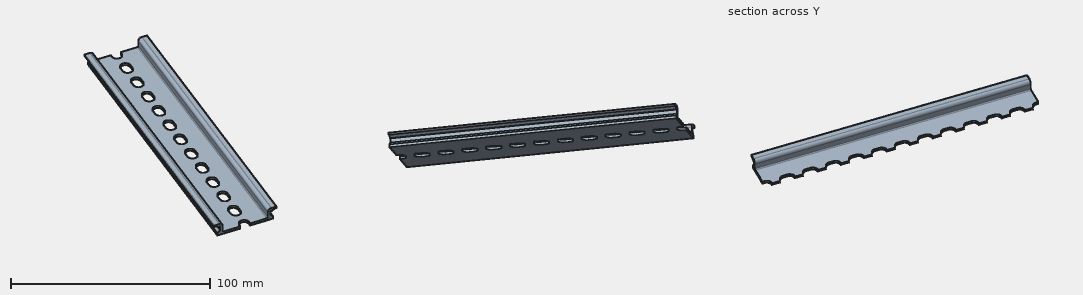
import cadquery as cq
import math

LENGTH = 150.0
LIP_WIDTH = 35.0
HEIGHT = 7.2

CHANNEL_WIDTH = 25.0
FOOT_WIDTH = 31.0
FLOOR_THICKNESS = 1.5
WALL_THICKNESS = 1.5
FLOOR_CORNER_RADIUS = 0.5
FOOT_SLOPE = 45.0

LIP_TIP_THICKNESS = 1.0
LIP_TIP_LENGTH = 1.0
LIP_ROOT_THICKNESS = 2.05
LIP_SLOPE = 30.0
LIP_TIP_RADIUS = 0.3
LIP_INNER_RADIUS = 2.0

SLOT_PITCH = 12.5
SLOT_LENGTH = 8.0
SLOT_WIDTH = 5.5

WALL_INNER = CHANNEL_WIDTH / 2
WALL_OUTER = WALL_INNER + WALL_THICKNESS
FOOT_OUTER = FOOT_WIDTH / 2
LIP_OUTER = LIP_WIDTH / 2
LIP_SLOPE_OUTER = LIP_OUTER - LIP_TIP_LENGTH
LIP_SLOPE_RUN = (LIP_ROOT_THICKNESS - LIP_TIP_THICKNESS) / math.tan(math.radians(LIP_SLOPE))
LIP_SLOPE_INNER = LIP_SLOPE_OUTER - LIP_SLOPE_RUN

SHOULDER_TOP = FLOOR_THICKNESS + (FOOT_OUTER - WALL_OUTER) * math.tan(math.radians(FOOT_SLOPE))
LIP_ROOT_BOTTOM = HEIGHT - LIP_ROOT_THICKNESS
LIP_TIP_BOTTOM = HEIGHT - LIP_TIP_THICKNESS


def fillet_long_edge(body, y, z, radius):
    """Round the edge that runs the length of the rail through (y, z)."""
    edge = cq.selectors.NearestToPointSelector((0, y, z))
    return body.edges(edge).fillet(radius)


def make_half_rail():
    """The +Y half of the rail: floor, foot, wall and lip, without slots."""
    half = (
        cq.Workplane("YZ", origin=(-LENGTH / 2, 0, 0))
        .moveTo(0, 0)
        .lineTo(FOOT_OUTER, 0)
        .lineTo(FOOT_OUTER, FLOOR_THICKNESS)
        .lineTo(WALL_OUTER, SHOULDER_TOP)
        .lineTo(WALL_OUTER, LIP_ROOT_BOTTOM)
        .lineTo(LIP_SLOPE_INNER, LIP_ROOT_BOTTOM)
        .lineTo(LIP_SLOPE_OUTER, LIP_TIP_BOTTOM)
        .lineTo(LIP_OUTER, LIP_TIP_BOTTOM)
        .lineTo(LIP_OUTER, HEIGHT)
        .lineTo(WALL_INNER, HEIGHT)
        .lineTo(WALL_INNER, FLOOR_THICKNESS)
        .lineTo(0, FLOOR_THICKNESS)
        .close()
        .extrude(LENGTH)
    )
    half = fillet_long_edge(half, WALL_INNER, FLOOR_THICKNESS, FLOOR_CORNER_RADIUS)
    half = fillet_long_edge(half, WALL_INNER, HEIGHT, LIP_INNER_RADIUS)
    half = fillet_long_edge(half, LIP_OUTER, HEIGHT, LIP_TIP_RADIUS)
    half = fillet_long_edge(half, LIP_OUTER, LIP_TIP_BOTTOM, LIP_TIP_RADIUS)
    return half


def make_slots():
    """Slots at a constant pitch; the first and last are halved by the rail ends."""
    slot_count = round(LENGTH / SLOT_PITCH) + 1
    return (
        cq.Workplane("XY")
        .rarray(SLOT_PITCH, 1, slot_count, 1)
        .slot2D(SLOT_LENGTH, SLOT_WIDTH)
        .extrude(FLOOR_THICKNESS)
    )


half_rail = make_half_rail()
rail = half_rail.union(half_rail.mirror("XZ")).clean()
result = rail.cut(make_slots())